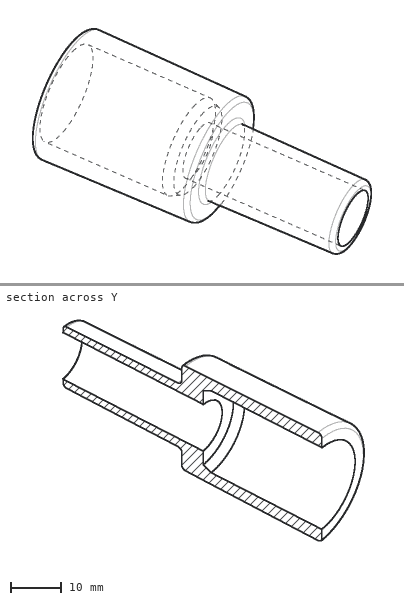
import cadquery as cq

total_length = 65.5
body_length = 35.5
neck_length = total_length - body_length

body_start_diameter = 28.15
body_end_diameter = 27.2
neck_start_diameter = 16.65
neck_end_diameter = 16.0

socket_diameter = 21.1
socket_chamfer_length = 2.0
socket_chamfer_width = 1.0
socket_floor_thickness = 5.5
socket_depth = body_length - socket_floor_thickness
bore_diameter = 12.0

edge_radius = 1.0


def tapered_cylinder(start_x, length, start_diameter, end_diameter):
    """Solid cone frustum along +X."""
    cone = cq.Solid.makeCone(
        start_diameter / 2,
        end_diameter / 2,
        length,
        pnt=cq.Vector(start_x, 0, 0),
        dir=cq.Vector(1, 0, 0),
    )
    return cq.Workplane(obj=cone)


body = tapered_cylinder(0, body_length, body_start_diameter, body_end_diameter)
neck = tapered_cylinder(body_length, neck_length, neck_start_diameter, neck_end_diameter)
outer = body.union(neck)

outer = outer.edges("%CIRCLE").fillet(edge_radius)

socket = (
    cq.Workplane("YZ")
    .circle(socket_diameter / 2)
    .extrude(socket_depth)
    .faces(">X")
    .chamfer(socket_chamfer_length, socket_chamfer_width)
)
bore = cq.Workplane("YZ").circle(bore_diameter / 2).extrude(total_length)
result = outer.cut(socket).cut(bore)